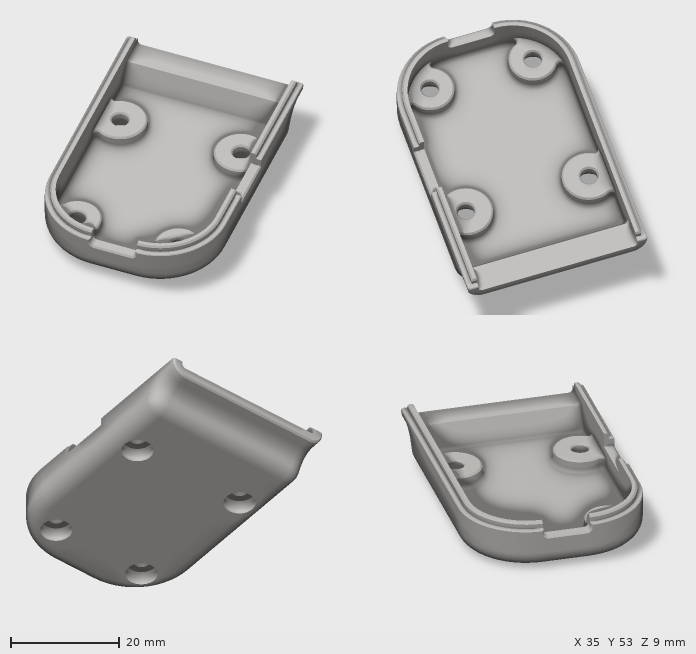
import cadquery as cq
import math

width = 35.0
length = 53.0
height = 9.0

wall = 2.0
corner_radius = 13.0
bottom_radius = 3.0
inner_radius = 0.8
rim_height = 7.8
lip_inset = 1.0
lip_chamfer = 0.3
edge_break = 0.15
back_chamfer = 0.3

shelf_bottom = 4.3
ramp_angle = 60.0
ramp_start = 44.85

bosses = [(12.0, 35.0, 5.05), (10.0, 8.0, 4.5)]
boss_top = 4.5
boss_chamfer = 0.3
boss_root = 1.05
hole_diameter = 3.2
counterbore_diameter = 6.0
counterbore_depth = 3.0

notch_bottom = 6.3
notch_chamfer = 0.3
front_notch_width = width - 2 * corner_radius
front_notch_radius = 0.9
side_notch_start = 21.0
side_notch_end = 31.1

overshoot = 2.65
overshoot_small = 0.55
half_width = width / 2
ramp_slope = math.tan(math.radians(ramp_angle))
ramp_foot = ramp_start + bottom_radius * math.tan(math.radians(ramp_angle / 2))


def plan(inset, back, bottom, top):
    """Prism of the U-shaped outline, moved inwards by inset and ending at Y = back."""
    half = half_width - inset
    radius = corner_radius - inset
    return (
        cq.Workplane("XY", origin=(0, 0, bottom))
        .moveTo(-half, back)
        .lineTo(-half, corner_radius)
        .radiusArc((-half + radius, inset), -radius)
        .lineTo(half - radius, inset)
        .radiusArc((half, corner_radius), -radius)
        .lineTo(half, back)
        .close()
        .extrude(top - bottom)
    )


def above_floor(offset, top):
    """Full-width prism above the floor, ramp and shelf, raised by offset from the underside."""
    foot = ramp_foot - offset * math.tan(math.radians(ramp_angle / 2))
    rise = shelf_bottom
    back = length + (overshoot if offset else 0)
    return (
        cq.Workplane("YZ", origin=(-half_width, 0, 0))
        .moveTo(0, offset)
        .lineTo(foot, offset)
        .lineTo(foot + rise / ramp_slope, offset + rise)
        .lineTo(back, offset + rise)
        .lineTo(back, top)
        .lineTo(0, top)
        .close()
        .extrude(width)
    )


def boss_places():
    for distance, y, radius in bosses:
        for side in (-1, 1):
            yield side * distance, y, radius


def meets_boss(edge):
    """True for an upright edge that lies on the side of a boss."""
    spot = edge.Center()
    return any(abs(math.hypot(spot.x - x, spot.y - y) - radius) < 0.005 for x, y, radius in boss_places())


def make_body():
    """Solid shell blank with the rounded underside and the raised lip around the rim."""
    body = plan(0, length, 0, rim_height).intersect(above_floor(0, rim_height))
    shelf_start = ramp_foot + shelf_bottom / ramp_slope
    shelf_bend = cq.selectors.NearestToPointSelector((0, shelf_start, shelf_bottom))
    body = body.edges(shelf_bend).fillet(bottom_radius)
    body = body.faces("<X or >X or <Z").edges("not (|Z or >Z)").fillet(bottom_radius)
    body = body.faces(">Y").edges("not >Z").chamfer(back_chamfer)
    body = body.faces(">Z").edges().chamfer(edge_break)
    lip = plan(lip_inset, length - lip_inset, rim_height - wall, height)
    return body.union(lip.faces(">Z").edges().chamfer(lip_chamfer))


def remove_bosses(space):
    """Cut the full-height boss cylinders out of an inner space."""
    for x, y, radius in boss_places():
        space = space.cut(cq.Workplane("XY").center(x, y).circle(radius).extrude(boss_top))
    return space


def make_cavity():
    """Inner space of the shell with its rounded corners, leaving the bosses standing."""
    cavity = plan(wall, length + overshoot, 0, height + overshoot)
    cavity = remove_bosses(cavity.intersect(above_floor(wall, height + overshoot)))
    ramp_region = cq.selectors.BoxSelector(
        (-half_width, ramp_start, wall), (half_width, length + overshoot, notch_bottom + 0.05)
    )
    ramp_sides = cavity.edges(ramp_region).edges("not |X")
    boss_corners = cavity.edges("|Z").filter(meets_boss)
    cavity = cavity.faces("<Z").edges().add(ramp_sides).add(boss_corners).fillet(inner_radius)
    clearance = remove_bosses(plan(wall, length, 0, boss_top))
    clearance = clearance.edges("|Z").filter(meets_boss).fillet(inner_radius)
    pads = plan(wall - boss_root, ramp_start, wall, boss_top).cut(clearance)
    pads = pads.faces(">Z").edges().chamfer(boss_chamfer)
    rim_cut = plan(wall, ramp_start, boss_top - boss_chamfer, boss_top).cut(pads)
    return cavity.union(rim_cut)


def cut_boss_holes(shell):
    """Counterbored screw holes with chamfered mouths."""
    for x, y, _ in boss_places():
        centre = cq.Workplane("XY").center(x, y)
        shell = shell.cut(centre.circle(hole_diameter / 2).extrude(height))
        shell = shell.cut(centre.circle(counterbore_diameter / 2).extrude(counterbore_depth))
        mouth = cq.selectors.NearestToPointSelector((x, y, boss_top))
        shell = shell.edges("%CIRCLE").edges(mouth).chamfer(boss_chamfer)
    return shell


def cut_notches(shell):
    """Round-cornered notch through the front wall and square notch through the +X wall."""
    front = (
        cq.Workplane("XY", origin=(0, 0, notch_bottom))
        .rect(front_notch_width, 2 * (wall + overshoot_small))
        .extrude(height)
        .edges("|Y and <Z")
        .fillet(front_notch_radius)
    )
    side_length = side_notch_end - side_notch_start
    side = (
        cq.Workplane("XY", origin=(half_width, side_notch_start + side_length / 2, notch_bottom))
        .rect(2 * (wall + overshoot_small), side_length)
        .extrude(height)
    )
    shell = shell.cut(front).cut(side)
    front_sill = cq.selectors.BoxSelector(
        (-half_width, -0.05, notch_bottom - 0.05),
        (half_width, 0.05, notch_bottom + front_notch_radius),
    )
    side_sill = cq.selectors.NearestToPointSelector(
        (half_width, side_notch_start + side_length / 2, notch_bottom)
    )
    shell = shell.edges(front_sill).chamfer(notch_chamfer)
    return shell.edges(side_sill).chamfer(notch_chamfer)


result = cut_notches(cut_boss_holes(make_body().cut(make_cavity())))